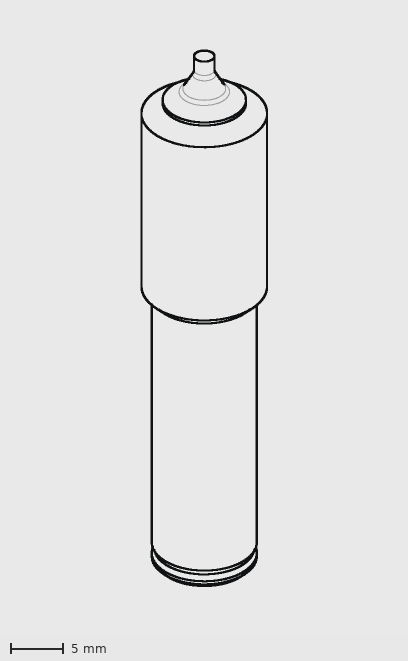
import cadquery as cq
import math

total_length = 57.6
shank_radius = 5.0
body_radius = 6.0
collar_radius = 4.0
pin_radius = 1.0

shank_top = 30.0
body_top = 50.6
collar_height = 0.35
pin_bottom = 55.45

steep_angle = math.radians(30)
shallow_angle = math.radians(60)

end_chamfer = 0.5
groove_bottom = 0.85
groove_floor = 1.5
groove_top = 2.1
groove_depth = 0.25

pin_blend_radius = 1.05
nose_blend_radius = 1.0


def cone_height(radial_change, half_angle):
    return radial_change / math.tan(half_angle)


shoulder_height = body_radius - shank_radius
collar_bottom = body_top + cone_height(body_radius - collar_radius, shallow_angle)
collar_top = collar_bottom + collar_height
pin_top = total_length - cone_height(pin_radius, shallow_angle)

steep_top_radius = pin_radius + pin_blend_radius * (1 - math.cos(steep_angle))
steep_top = pin_bottom - pin_blend_radius * math.sin(steep_angle)
pin_blend_mid = (
    pin_radius + pin_blend_radius * (1 - math.cos(steep_angle / 2)),
    pin_bottom - pin_blend_radius * math.sin(steep_angle / 2),
)

steep_slope = 1 / math.tan(steep_angle)
shallow_slope = 1 / math.tan(shallow_angle)
corner_radius = (
    steep_top + steep_slope * steep_top_radius - collar_top - shallow_slope * collar_radius
) / (steep_slope - shallow_slope)
corner_height = collar_top + shallow_slope * (collar_radius - corner_radius)

turn_angle = shallow_angle - steep_angle
middle_angle = (shallow_angle + steep_angle) / 2
blend_setback = nose_blend_radius * math.tan(turn_angle / 2)
blend_sagitta = nose_blend_radius * (1 / math.cos(turn_angle / 2) - 1)


def along_cone(half_angle, distance):
    """Point on a nose cone, at a signed distance down from the corner."""
    return (
        corner_radius + distance * math.sin(half_angle),
        corner_height - distance * math.cos(half_angle),
    )


nose_blend_mid = (
    corner_radius + blend_sagitta * math.cos(middle_angle),
    corner_height + blend_sagitta * math.sin(middle_angle),
)

profile = (
    cq.Workplane("XZ")
    .moveTo(0, 0)
    .lineTo(shank_radius - end_chamfer, 0)
    .lineTo(shank_radius, end_chamfer)
    .lineTo(shank_radius, groove_bottom)
    .lineTo(shank_radius - groove_depth, groove_floor)
    .lineTo(shank_radius - groove_depth, groove_top)
    .lineTo(shank_radius, groove_top)
    .lineTo(shank_radius, shank_top)
    .lineTo(body_radius, shank_top + shoulder_height)
    .lineTo(body_radius, body_top)
    .lineTo(collar_radius, collar_bottom)
    .lineTo(collar_radius, collar_top)
    .lineTo(*along_cone(shallow_angle, blend_setback))
    .threePointArc(nose_blend_mid, along_cone(steep_angle, -blend_setback))
    .lineTo(steep_top_radius, steep_top)
    .threePointArc(pin_blend_mid, (pin_radius, pin_bottom))
    .lineTo(pin_radius, pin_top)
    .lineTo(0, total_length)
    .close()
)

result = profile.revolve(360, (0, 0, 0), (0, 1, 0))